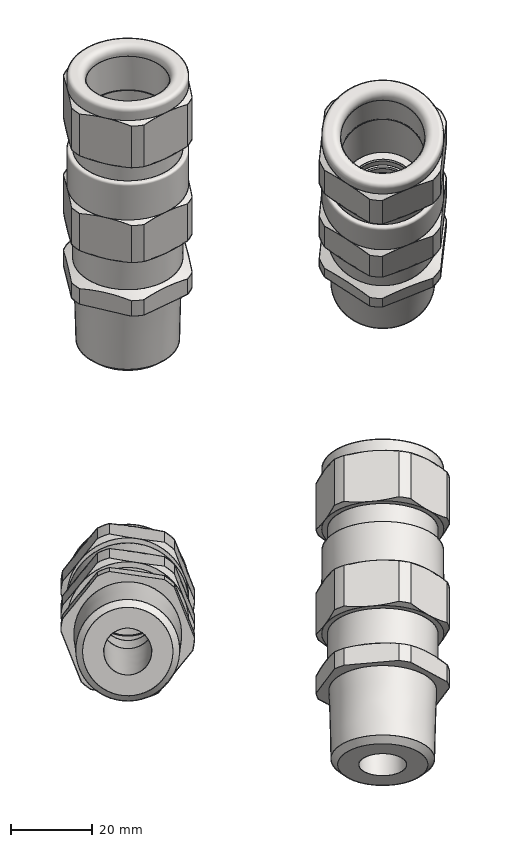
import cadquery as cq
import math

total_height = 82.9
across_flats = 30.0
across_corners = 33.0
flat_radius = across_flats / 2
corner_radius = across_corners / 2
hex_sides = 6
hex_half_angle = math.pi / hex_sides
neck_radius = 13.6
cone_slope = 0.43

thread_tip_radius = 12.8
thread_root_radius = 13.3
tip_chamfer_radial = 1.65
tip_chamfer_height = 1.6
flange_bottom = 20.6
flange_top = 26.5
entry_bore_tip_radius = 5.9
entry_bore_top_radius = 6.8

middle_bottom = 36.3
middle_hex_top = 48.9
collar_top = 59.85
collar_edge_radius = 0.6
cable_bore_radius = 10.4
relief_radius = 10.6
relief_top = 69.8
shelf_level = 51.4
ledge_depth = 2.5
ledge_chamfer = 0.3
ledge_radii = [8.4, 7.55, entry_bore_top_radius]

nut_bottom = 65.3
nut_hex_top = 79.3
nut_edge_radius = 1.1
lip_edge_radius = 2.0
lip_thickness = 2.65
lip_underside = total_height - lip_thickness


def revolve(profile):
    """Turn a closed (radius, height) profile around the Z axis."""
    return cq.Workplane("XZ").polyline(profile).close().revolve(360, (0, 0, 0), (0, 1, 0))


def cylinder(radius, bottom, top):
    """Solid cylinder on the Z axis between two levels."""
    return cq.Workplane("XY").workplane(offset=bottom).circle(radius).extrude(top - bottom)


def hexagon(bottom, top, face_radius, bottom_cone):
    """Hexagonal prism with two flats facing X.

    A cone starting at face_radius trims its top corners; bottom_cone trims the lower ones too.
    """
    sharp_corners = across_flats / math.cos(hex_half_angle)
    prism = (
        cq.Workplane("XY")
        .workplane(offset=bottom)
        .polygon(hex_sides, sharp_corners)
        .extrude(top - bottom)
        .rotate((0, 0, 0), (0, 0, 1), math.degrees(hex_half_angle))
    )
    top_drop = (corner_radius - face_radius) * cone_slope
    envelope = [(0, bottom)]
    if bottom_cone:
        bottom_rise = (corner_radius - flat_radius) * cone_slope
        envelope += [(flat_radius, bottom), (corner_radius, bottom + bottom_rise)]
    else:
        envelope += [(corner_radius, bottom)]
    envelope += [(corner_radius, top - top_drop), (face_radius, top), (0, top)]
    return prism.intersect(revolve(envelope))


def make_entry_body():
    thread = revolve(
        [
            (0, 0),
            (thread_tip_radius - tip_chamfer_radial, 0),
            (thread_tip_radius, tip_chamfer_height),
            (thread_root_radius, flange_bottom),
            (0, flange_bottom),
        ]
    )
    flange = hexagon(flange_bottom, flange_top, neck_radius, False)
    neck = cylinder(neck_radius, flange_top, middle_bottom)
    bore = revolve(
        [
            (0, 0),
            (entry_bore_tip_radius, 0),
            (entry_bore_top_radius, middle_bottom),
            (0, middle_bottom),
        ]
    )
    return thread.union(flange).union(neck).cut(bore)


def make_ledged_bore():
    """Bore of the middle body, narrowing in chamfered ledges below the shelf."""
    bore = cylinder(ledge_radii[-1], middle_bottom, shelf_level)
    for index, radius in enumerate(ledge_radii):
        mouth = shelf_level - index * ledge_depth
        bore = bore.union(
            revolve(
                [
                    (0, mouth - ledge_depth),
                    (radius, mouth - ledge_depth),
                    (radius, mouth - ledge_chamfer),
                    (radius + ledge_chamfer, mouth),
                    (0, mouth),
                ]
            )
        )
    return bore


def make_middle_body():
    hex_part = hexagon(middle_bottom, middle_hex_top, flat_radius, True)
    collar = cylinder(flat_radius, middle_hex_top, collar_top).faces(">Z").edges().fillet(collar_edge_radius)
    neck = cylinder(neck_radius, collar_top, lip_underside)
    relief = cylinder(relief_radius, shelf_level, relief_top)
    cable_bore = cylinder(cable_bore_radius, relief_top, lip_underside)
    outside = hex_part.union(collar).union(neck)
    return outside.cut(make_ledged_bore()).cut(relief).cut(cable_bore)


def make_cap_nut():
    hex_part = hexagon(nut_bottom, nut_hex_top, flat_radius, True)
    crown = cylinder(flat_radius, nut_hex_top, total_height).faces(">Z").edges().fillet(nut_edge_radius)
    socket = cylinder(neck_radius, nut_bottom, lip_underside)
    lip_hole = cylinder(cable_bore_radius, lip_underside, total_height)
    nut = hex_part.union(crown).cut(socket).cut(lip_hole)
    mouth_edge = nut.faces(">Z").edges(cq.selectors.RadiusNthSelector(0))
    return mouth_edge.fillet(lip_edge_radius)


entry_body = make_entry_body()
middle_body = make_middle_body()
cap_nut = make_cap_nut()

result = cq.Compound.makeCompound([entry_body.val(), middle_body.val(), cap_nut.val()])